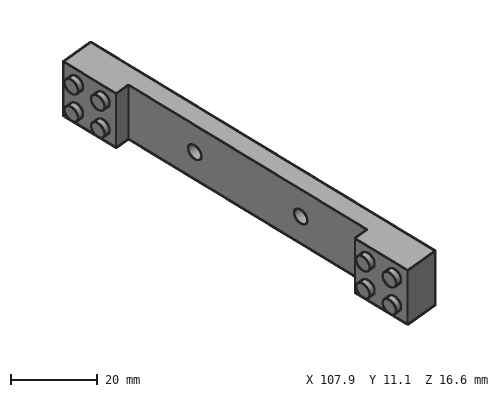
import cadquery as cq

length = 107.92
pitch = 8.3
studs_per_side = 2
block_depth = 9.35
plate_depth = 5.2
stud_height = 1.75
stud_diameter = 4.2
hole_diameter = 4.15
hole_count = 2
hole_spacing = 4 * pitch

block_size = studs_per_side * pitch
height = block_size
total_depth = block_depth + stud_height
back_y = total_depth / 2
block_face_y = back_y - block_depth
block_center_x = (length - block_size) / 2


def back_box(center_x, width, depth):
    """Full-height box whose rear face lies on the common back plane."""
    return cq.Workplane("XY").box(width, depth, height).translate((center_x, back_y - depth / 2, 0))


def end_block(center_x):
    """End block with a square grid of studs on its front (-Y) face."""
    studs = (
        cq.Workplane("XZ", origin=(center_x, block_face_y, 0))
        .rarray(pitch, pitch, studs_per_side, studs_per_side)
        .circle(stud_diameter / 2)
        .extrude(stud_height)
    )
    return back_box(center_x, block_size, block_depth).union(studs)


def through_holes():
    """Cutters for the two holes running through the bar along Y."""
    return (
        cq.Workplane("XZ", origin=(0, back_y, 0))
        .rarray(hole_spacing, pitch, hole_count, 1)
        .circle(hole_diameter / 2)
        .extrude(total_depth)
    )


bar = back_box(0, length, plate_depth)
for side in (-1, 1):
    bar = bar.union(end_block(side * block_center_x))

result = bar.cut(through_holes())